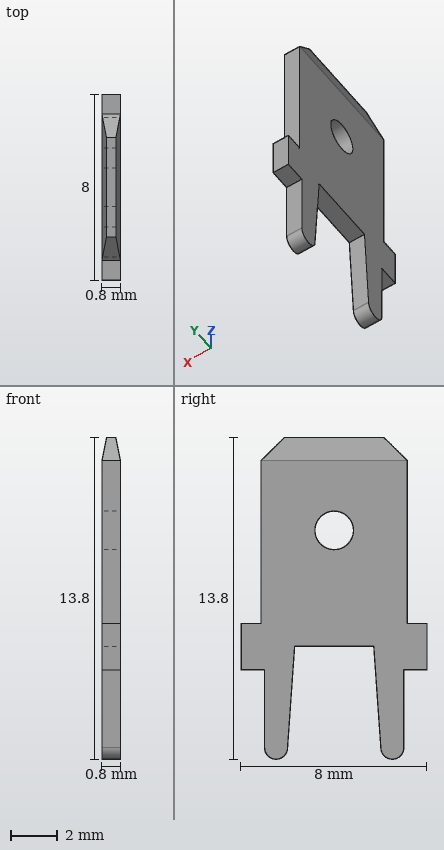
import cadquery as cq

height = 13.85
thickness = 0.8

blade_width = 6.3
tip_width = 4.27
tip_thickness = 0.4
tip_length = 1.0

shoulder_width = 8.0
shoulder_bottom = 3.85
shoulder_height = 2.0
shoulder_top = shoulder_bottom + shoulder_height

legs_width = 6.0
leg_end_width = 1.0
leg_end_radius = leg_end_width / 2
gap_top = 4.86
gap_top_width = 3.4

hole_diameter = 1.65
hole_below_top = 4.0

tip_base = height - tip_length


def half_outline():
    """Flat outline of the +Y half, as one closed wire in the YZ plane."""
    leg_outer = legs_width / 2
    leg_inner = leg_outer - leg_end_width
    leg_center = leg_outer - leg_end_radius
    return (
        cq.Workplane("YZ")
        .moveTo(0, height)
        .lineTo(tip_width / 2, height)
        .lineTo(blade_width / 2, tip_base)
        .lineTo(blade_width / 2, shoulder_top)
        .lineTo(shoulder_width / 2, shoulder_top)
        .lineTo(shoulder_width / 2, shoulder_bottom)
        .lineTo(leg_outer, shoulder_bottom)
        .lineTo(leg_outer, leg_end_radius)
        .threePointArc((leg_center, 0), (leg_inner, leg_end_radius))
        .lineTo(gap_top_width / 2, gap_top)
        .lineTo(0, gap_top)
        .close()
    )


def side_envelope():
    """Plate thickness profile in XZ, thinned on both faces toward the tip."""
    return (
        cq.Workplane("XZ")
        .moveTo(-thickness / 2, 0)
        .lineTo(thickness / 2, 0)
        .lineTo(thickness / 2, tip_base)
        .lineTo(tip_thickness / 2, height)
        .lineTo(-tip_thickness / 2, height)
        .lineTo(-thickness / 2, tip_base)
        .close()
        .extrude(shoulder_width / 2, both=True)
    )


def blade_hole():
    """Round cutter through the plate thickness."""
    return (
        cq.Workplane("YZ", origin=(-thickness / 2, 0, 0))
        .center(0, height - hole_below_top)
        .circle(hole_diameter / 2)
        .extrude(thickness)
    )


half_plate = half_outline().extrude(thickness / 2, both=True)
plate = half_plate.union(half_plate.mirror("XZ")).clean()
result = plate.intersect(side_envelope()).cut(blade_hole()).clean()